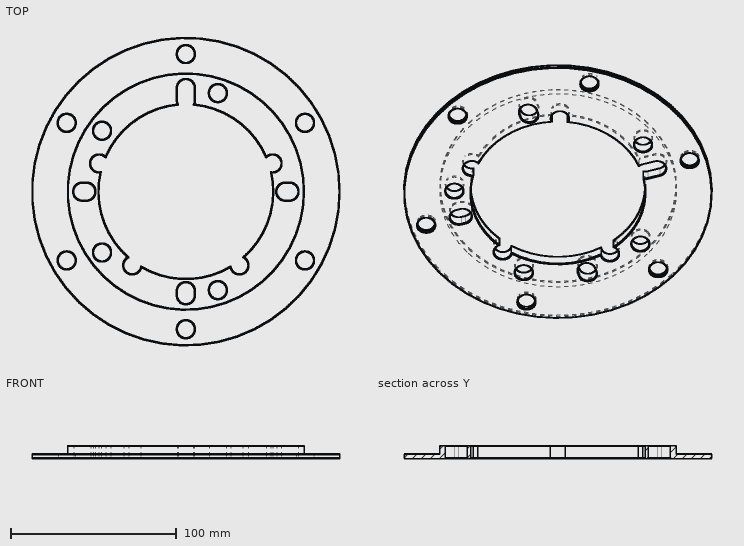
import cadquery as cq

flange_diameter = 186.0
flange_thickness = 3.0
hub_diameter = 143.0
total_height = 8.0
bore_diameter = 105.0
edge_chamfer = 0.5

hole_diameter = 10.4
hole_radius = hole_diameter / 2

flange_hole_count = 6
flange_hole_circle_radius = 83.0

hub_hole_places = 5
hub_hole_circle_radius = 62.5

notch_count = 5
notch_circle_radius = 55.0

slot_count = 4
slot_inner_center_radius = 60.0
slot_outer_center_radius = hub_hole_circle_radius

open_slot_angle = 90


def disk(diameter, height):
    """Solid disk standing on the XY plane, centered on the Z axis."""
    return cq.Workplane("XY").circle(diameter / 2).extrude(height)


def turned(shape, angle):
    """Shape turned about the Z axis."""
    return shape.rotate((0, 0, 0), (0, 0, 1), angle)


def hole_cutter(circle_radius, angle):
    """Full-height round cutter at a polar position."""
    cutter = cq.Workplane("XY").center(circle_radius, 0).circle(hole_radius).extrude(total_height)
    return turned(cutter, angle)


def slot_cutter(inner_center_radius, outer_center_radius, angle):
    """Full-height radial slot cutter between two end centers."""
    slot_middle = (inner_center_radius + outer_center_radius) / 2
    slot_length = outer_center_radius - inner_center_radius + hole_diameter
    outline = cq.Workplane("XY").center(slot_middle, 0).slot2D(slot_length, hole_diameter)
    cutter = outline.extrude(total_height)
    return turned(cutter, angle)


def stepped_ring():
    """Flange and hub with the central bore."""
    body = disk(flange_diameter, flange_thickness).union(disk(hub_diameter, total_height))
    return body.cut(disk(bore_diameter, total_height))


def cut_flange_holes(body):
    for index in range(flange_hole_count):
        hole_angle = open_slot_angle + index * 360 / flange_hole_count
        body = body.cut(hole_cutter(flange_hole_circle_radius, hole_angle))
    return body


def cut_hub_holes(body):
    for place in range(1, hub_hole_places):
        body = body.cut(hole_cutter(hub_hole_circle_radius, place * 360 / hub_hole_places))
    return body


def cut_notches(body):
    """Bore notches, except the one that the open slot takes in."""
    for index in range(1, notch_count):
        notch_angle = open_slot_angle + index * 360 / notch_count
        body = body.cut(hole_cutter(notch_circle_radius, notch_angle))
    return body


def cut_slots(body):
    """Closed slots, and the open slot that starts at the notch circle."""
    body = body.cut(slot_cutter(notch_circle_radius, slot_outer_center_radius, open_slot_angle))
    for index in range(1, slot_count):
        slot_angle = open_slot_angle + index * 360 / slot_count
        body = body.cut(slot_cutter(slot_inner_center_radius, slot_outer_center_radius, slot_angle))
    return body


def is_outside_hub_corner(edge):
    """True for edges other than the inner corner between hub and flange."""
    return abs(edge.radius() - hub_diameter / 2) > edge_chamfer


def chamfer_edges(body):
    """Break all edges of the top, bottom and flange faces, but not the hub corner."""
    body = body.faces(">Z or <Z").edges().chamfer(edge_chamfer)
    flange_top = body.faces("|Z").faces(cq.selectors.CenterNthSelector(cq.Vector(0, 0, 1), 1))
    return flange_top.edges().filter(is_outside_hub_corner).chamfer(edge_chamfer)


result = stepped_ring()
result = cut_flange_holes(result)
result = cut_hub_holes(result)
result = cut_notches(result)
result = cut_slots(result)
result = chamfer_edges(result).solids()